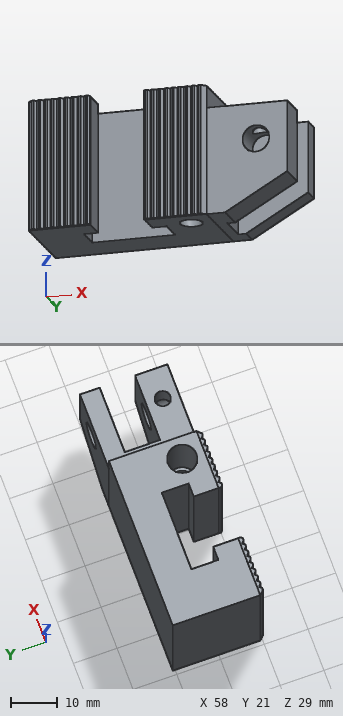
import cadquery as cq

TOTAL_LENGTH = 58.0
HEIGHT = 29.0
BLOCK_LENGTH = 39.9
BLOCK_WIDTH = 20.0

SLOT_WIDTH = 18.55
SLOT_BACK_WALL = 8.2
MOUTH_WIDTH = 12.2
MOUTH_DEPTH = 5.7
SLOT_CENTRE_X = BLOCK_LENGTH / 2

BOLT_X = 35.0
BOLT_Y = 5.05
BOLT_DIAMETER = 5.0
COUNTERBORE_DIAMETER = 6.5
COUNTERBORE_DEPTH = HEIGHT / 2

PAD_LENGTH = (BLOCK_LENGTH - MOUTH_WIDTH) / 2
PAD_THICKNESS = 1.0
TOOTH_PITCH = 1.5
TOOTH_TIP = 0.4
TOOTH_DEPTH = (TOOTH_PITCH - TOOTH_TIP) / 2
TOOTH_GAPS = 8

CLEVIS_LENGTH = TOTAL_LENGTH - BLOCK_LENGTH
CLEVIS_HEIGHT = 24.0
CLEVIS_WEB = 2.45
BACK_TINE = 4.5
FRONT_TINE = 7.4
BEVEL_LENGTH = 13.9
BEVEL_HEIGHT = 8.0
PIVOT_X = 51.0
PIVOT_Z = 16.05
PIVOT_DIAMETER = 6.0
SCREW_Y = 3.65
SCREW_DIAMETER = 3.5


def box(x, y, z, length, width, height):
    """Box placed by its lower front left corner."""
    return cq.Workplane("XY").box(length, width, height, centered=False).translate((x, y, z))


def upright_cylinder(x, y, bottom, top, diameter):
    return cq.Workplane("XY", origin=(x, y, bottom)).circle(diameter / 2).extrude(top - bottom)


def make_block():
    slot_depth = BLOCK_WIDTH - SLOT_BACK_WALL - MOUTH_DEPTH
    slot = box(SLOT_CENTRE_X - SLOT_WIDTH / 2, MOUTH_DEPTH, 0, SLOT_WIDTH, slot_depth, HEIGHT)
    mouth = box(SLOT_CENTRE_X - MOUTH_WIDTH / 2, 0, 0, MOUTH_WIDTH, MOUTH_DEPTH, HEIGHT)
    bolt_hole = upright_cylinder(BOLT_X, BOLT_Y, 0, HEIGHT, BOLT_DIAMETER)
    counterbore = upright_cylinder(
        BOLT_X, BOLT_Y, HEIGHT - COUNTERBORE_DEPTH, HEIGHT, COUNTERBORE_DIAMETER
    )
    block = box(0, 0, 0, BLOCK_LENGTH, BLOCK_WIDTH, HEIGHT)
    return block.cut(slot).cut(mouth).cut(bolt_hole).cut(counterbore)


def make_pad(outer_x, inward):
    """Serrated pad from the outer end of the block; inward is +1 or -1 along X."""
    profile = [(0, 0), (PAD_THICKNESS, -PAD_THICKNESS)]
    for gap in range(TOOTH_GAPS):
        tip_end = PAD_THICKNESS + gap * TOOTH_PITCH + TOOTH_TIP
        next_tip = tip_end + 2 * TOOTH_DEPTH
        profile.append((tip_end, -PAD_THICKNESS))
        profile.append((tip_end + TOOTH_DEPTH, TOOTH_DEPTH - PAD_THICKNESS))
        profile.append((next_tip, -PAD_THICKNESS))
    last_tip_end = next_tip + TOOTH_TIP
    profile.append((last_tip_end, -PAD_THICKNESS))
    profile.append((PAD_LENGTH, PAD_LENGTH - last_tip_end - PAD_THICKNESS))
    profile.append((PAD_LENGTH, 0))
    points = [(outer_x + inward * distance, y) for distance, y in profile]
    return cq.Workplane("XY").polyline(points).close().extrude(HEIGHT)


def make_clevis():
    side_outline = [
        (BLOCK_LENGTH, 0),
        (TOTAL_LENGTH - BEVEL_LENGTH, 0),
        (TOTAL_LENGTH, BEVEL_HEIGHT),
        (TOTAL_LENGTH, CLEVIS_HEIGHT),
        (BLOCK_LENGTH, CLEVIS_HEIGHT),
    ]
    clevis = cq.Workplane("XZ").polyline(side_outline).close().extrude(-BLOCK_WIDTH)
    gap = box(
        BLOCK_LENGTH + CLEVIS_WEB, FRONT_TINE, 0,
        CLEVIS_LENGTH - CLEVIS_WEB, BLOCK_WIDTH - FRONT_TINE - BACK_TINE, CLEVIS_HEIGHT,
    )
    pivot_hole = (
        cq.Workplane("XZ", origin=(PIVOT_X, 0, PIVOT_Z))
        .circle(PIVOT_DIAMETER / 2)
        .extrude(-BLOCK_WIDTH)
    )
    screw_hole = upright_cylinder(PIVOT_X, SCREW_Y, PIVOT_Z, CLEVIS_HEIGHT, SCREW_DIAMETER)
    return clevis.cut(gap).cut(pivot_hole).cut(screw_hole)


block = make_block()
clevis = make_clevis()
pads = [make_pad(outer_x, inward) for outer_x, inward in ((0, 1), (BLOCK_LENGTH, -1))]

result = cq.Compound.makeCompound([block.val(), clevis.val(), *[pad.val() for pad in pads]])